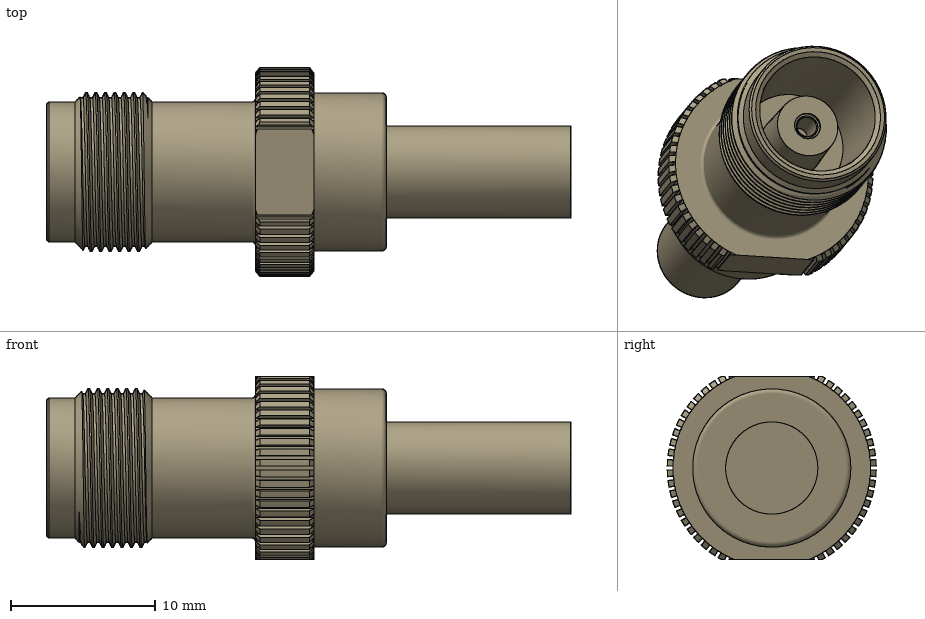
import cadquery as cq
import math


overall_length = 36.27
thread_start = 1.95
thread_end = 7.3
collar_start = 14.45
collar_end = 18.5
rear_barrel_end = 23.5

front_barrel_radius = 4.85
rear_barrel_radius = 5.48
tube_radius = 3.2
front_edge_chamfer = 0.15
collar_fillet = 0.2
rear_barrel_fillet = 0.33

thread_root_radius = 5.15
thread_crest_radius = 5.5
thread_pitch = 0.655
thread_crest_width = 0.1
thread_base_width = 0.47
thread_lead_in = 0.7
trim_clearance = 0.1
thread_embed = 0.1

collar_diameter = 14.47
knurl_count = 62
knurl_groove_width = 0.25
knurl_depth = 0.4
collar_chamfer_length = 0.33
collar_radius = collar_diameter / 2
collar_height = 12.7

mouth_radius = 4.42
mouth_chamfer_depth = 0.18
socket_front_radius = 4.1
socket_floor_radius = 3.65
socket_depth = 8.35

boss_face = 3.25
boss_base_radius = 2.25
boss_face_radius = 2.15

contact_recess = 0.18
contact_radius = 0.9
contact_length = 3.63
contact_hole_radius = 0.7
contact_hole_depth = 2.9
contact_hole_chamfer = 0.07

contact_face = boss_face + contact_recess
contact_end = contact_face + contact_length


def revolve_about_axis(profile):
    """Turn a closed outline of (x, radius) points about the X axis."""
    return cq.Workplane("XY").polyline(profile).close().revolve(360, (0, 0, 0), (1, 0, 0))


def cylinder(start, end, radius):
    """Solid cylinder on the X axis between two stations."""
    return cq.Workplane("YZ").workplane(offset=start).circle(radius).extrude(end - start)


def make_barrels():
    front = cylinder(0, collar_start, front_barrel_radius).faces("<X").chamfer(front_edge_chamfer)
    collar_core = cylinder(collar_start, collar_end, rear_barrel_radius)
    rear = cylinder(collar_end, rear_barrel_end, rear_barrel_radius).faces(">X").edges()
    rear = rear.fillet(rear_barrel_fillet)
    tube = cylinder(rear_barrel_end, overall_length, tube_radius)
    return front.union(collar_core).union(rear).union(tube)


def make_collar_fillet():
    """Concave ring that blends the front barrel into the collar face."""
    fillet_start = collar_start - collar_fillet
    fillet_top = front_barrel_radius + collar_fillet
    arc_middle = (
        fillet_start + collar_fillet * math.sin(math.pi / 4),
        fillet_top - collar_fillet * math.cos(math.pi / 4),
    )
    inner_radius = front_barrel_radius - collar_fillet
    return (
        cq.Workplane("XY")
        .moveTo(fillet_start, inner_radius)
        .lineTo(fillet_start, front_barrel_radius)
        .threePointArc(arc_middle, (collar_start, fillet_top))
        .lineTo(collar_start, inner_radius)
        .close()
        .revolve(360, (0, 0, 0), (1, 0, 0))
    )


def make_thread_envelope(radius):
    """Threaded length at the given radius, with 45 degree ends rising from the front barrel."""
    rise = radius - front_barrel_radius
    return revolve_about_axis([
        (thread_start, 0),
        (thread_start, front_barrel_radius),
        (thread_start + rise, radius),
        (thread_end - rise, radius),
        (thread_end, front_barrel_radius),
        (thread_end, 0),
    ])


def make_thread():
    """Helical ridge of trapezoidal section on a core, trimmed by the chamfered ends."""
    ridge_start = thread_start - thread_lead_in
    turns = math.ceil((thread_end - ridge_start) / thread_pitch)
    base_radius = thread_root_radius - thread_embed
    flank_run = (thread_base_width - thread_crest_width) / 2
    flank_slope = flank_run / (thread_crest_radius - thread_root_radius)
    half_base = thread_base_width / 2 + flank_slope * thread_embed
    half_crest = thread_crest_width / 2

    path = cq.Wire.makeHelix(thread_pitch, turns * thread_pitch, base_radius)
    ridge = (
        cq.Workplane("XZ")
        .polyline([
            (base_radius, -half_base),
            (thread_crest_radius, -half_crest),
            (thread_crest_radius, half_crest),
            (base_radius, half_base),
        ])
        .close()
        .sweep(cq.Workplane(path), isFrenet=True)
    )
    ridge = ridge.rotate((0, 0, 0), (0, 1, 0), 90)
    ridge = ridge.translate((ridge_start, 0, 0))
    trimmed_ridge = ridge.intersect(make_thread_envelope(thread_crest_radius + trim_clearance))
    return make_thread_envelope(thread_root_radius).union(trimmed_ridge)


def make_collar():
    """Knurled ring with bevelled ends and flats above and below."""
    groove_bottom = collar_radius - knurl_depth
    collar = revolve_about_axis([
        (collar_start, 0),
        (collar_start, groove_bottom),
        (collar_start + collar_chamfer_length, collar_radius),
        (collar_end - collar_chamfer_length, collar_radius),
        (collar_end, groove_bottom),
        (collar_end, 0),
    ])
    groove_reach = 2 * knurl_depth
    grooves = (
        cq.Workplane("YZ")
        .workplane(offset=collar_start)
        .polarArray(groove_bottom + groove_reach / 2, 0, 360, knurl_count)
        .rect(groove_reach, knurl_groove_width)
        .extrude(collar_end - collar_start)
    )
    flats = cq.Workplane("XY").box(2 * overall_length, 2 * collar_radius, collar_height)
    return collar.cut(grooves).intersect(flats)


def make_socket():
    """Cavity with a chamfered mouth, tapering to a floor that carries the boss."""
    return revolve_about_axis([
        (0, 0),
        (0, mouth_radius),
        (mouth_chamfer_depth, socket_front_radius),
        (socket_depth, socket_floor_radius),
        (socket_depth, boss_base_radius),
        (boss_face, boss_face_radius),
        (boss_face, 0),
    ])


def make_housing():
    housing = make_barrels().union(make_collar_fillet()).union(make_collar())
    housing = housing.union(make_thread())
    contact_seat = cylinder(boss_face, contact_end, contact_radius)
    return housing.cut(make_socket()).cut(contact_seat)


def make_contact():
    """Round contact with a chamfered blind hole for the mating pin."""
    contact = cylinder(contact_face, contact_end, contact_radius)
    hole = cylinder(contact_face, contact_face + contact_hole_depth, contact_hole_radius)
    contact = contact.cut(hole)
    return contact.faces("<X").edges(cq.selectors.RadiusNthSelector(0)).chamfer(contact_hole_chamfer)


housing = make_housing()
contact = make_contact()

result = cq.Compound.makeCompound([*housing.solids().vals(), contact.val()])